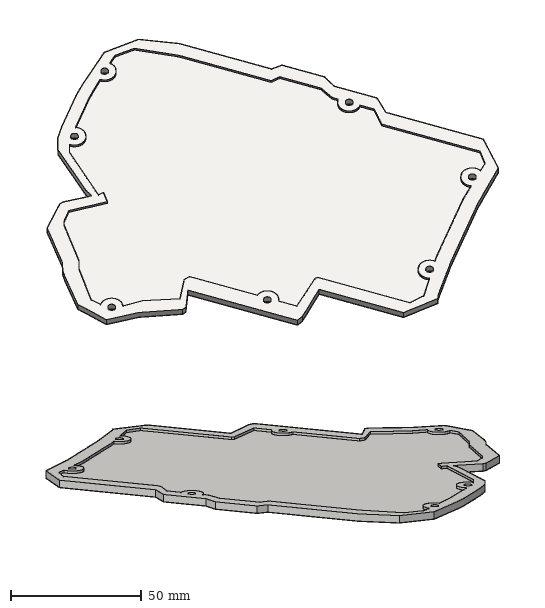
import cadquery as cq

THICKNESS = 3.0
POCKET_DEPTH = 1.0
FLOOR = THICKNESS - POCKET_DEPTH

HOLE_DIAMETER = 3.0
PAD_DIAMETER = 8.9

LEFT = -82.5
RIGHT_TIP = 82.5
RIGHT_WAIST = 81.0
TOP_CENTRE = 71.1
TOP_SIDE = 68.0
TOP_RIGHT = 62.4
BOTTOM_RIGHT = -29.4
BOTTOM_CENTRE = -46.7
BOTTOM_TIP = -71.1

POCKET_LEFT = -77.5
POCKET_RIGHT_TIP = 77.0
POCKET_RIGHT_WAIST = 75.0
POCKET_TOP_CENTRE = 65.4
POCKET_TOP_SIDE = 62.4
POCKET_TOP_RIGHT = 56.3
POCKET_BOTTOM_RIGHT = -24.0
POCKET_BOTTOM_CENTRE = -40.1

LEFT_SCREW_X = -76.3
RIGHT_SCREW_X = 74.6

OUTER_OUTLINE = [
    (-79.5, 54.1),
    (-69.3, 64.7),
    (-53.8, TOP_SIDE),
    (-16.2, TOP_SIDE),
    (-13.0, TOP_CENTRE),
    (4.3, TOP_CENTRE),
    (9.4, TOP_SIDE),
    (26.9, TOP_SIDE),
    (32.5, TOP_RIGHT),
    (72.3, TOP_RIGHT),
    (RIGHT_TIP, 50.8),
    (RIGHT_WAIST, 31.4),
    (RIGHT_WAIST, 0.8),
    (82.0, -17.0),
    (RIGHT_TIP, -18.3),
    (72.5, BOTTOM_RIGHT),
    (38.0, BOTTOM_RIGHT),
    (36.5, -44.2),
    (35.3, BOTTOM_CENTRE),
    (-9.4, BOTTOM_CENTRE),
    (-7.3, -55.0),
    (-8.1, -56.5),
    (-23.5, -63.5),
    (-34.0, BOTTOM_TIP),
    (-43.4, -68.5),
    (-46.9, -67.7),
    (-56.3, -56.1),
    (-58.1, -53.5),
    (-59.5, -50.0),
    (-70.8, -35.7),
    (-70.3, -23.0),
    (-69.5, -21.5),
    (-60.1, -14.9),
    (-63.2, -12.9),
    (-80.0, 2.5),
    (-82.0, 7.8),
    (LEFT, 13.9),
    (LEFT, 30.5),
    (-82.0, 36.3),
]

POCKET_OUTLINE = [
    (-75.1, 54.1),
    (-69.3, 60.0),
    (-52.0, POCKET_TOP_SIDE),
    (-14.4, POCKET_TOP_SIDE),
    (-11.9, POCKET_TOP_CENTRE),
    (5.0, POCKET_TOP_CENTRE),
    (10.5, POCKET_TOP_SIDE),
    (27.7, POCKET_TOP_SIDE),
    (33.0, POCKET_TOP_RIGHT),
    (73.1, POCKET_TOP_RIGHT),
    (POCKET_RIGHT_TIP, 51.3),
    (POCKET_RIGHT_WAIST, 31.4),
    (POCKET_RIGHT_WAIST, 0.8),
    (POCKET_RIGHT_TIP, -18.8),
    (73.1, POCKET_BOTTOM_RIGHT),
    (35.5, POCKET_BOTTOM_RIGHT),
    (34.7, -24.8),
    (32.7, POCKET_BOTTOM_CENTRE),
    (-11.0, POCKET_BOTTOM_CENTRE),
    (-12.5, -42.3),
    (-10.9, -51.8),
    (-24.0, -57.5),
    (-34.2, -65.7),
    (-42.8, -63.7),
    (-52.3, -50.8),
    (-53.6, -47.0),
    (-65.0, -32.2),
    (-65.9, -30.4),
    (-65.9, -24.8),
    (-53.3, -15.5),
    (-56.3, -11.7),
    (-57.8, -13.5),
    (-75.3, 2.6),
    (-76.8, 6.6),
    (POCKET_LEFT, 14.9),
    (POCKET_LEFT, 31.4),
    (-75.6, 51.2),
]

SCREW_POSITIONS = [
    (LEFT_SCREW_X, 45.4),
    (LEFT_SCREW_X, 10.9),
    (17.5, POCKET_TOP_SIDE),
    (RIGHT_SCREW_X, 43.2),
    (RIGHT_SCREW_X, -5.6),
    (21.0, -41.0),
    (-34.2, -64.5),
]


def prism(outline, bottom, height):
    """Upright solid with the given closed outline."""
    return cq.Workplane("XY").workplane(offset=bottom).polyline(outline).close().extrude(height)


def screw_cylinders(diameter, bottom, height):
    """One cylinder at every screw position."""
    base = cq.Workplane("XY").workplane(offset=bottom)
    return base.pushPoints(SCREW_POSITIONS).circle(diameter / 2).extrude(height)


pocket = prism(POCKET_OUTLINE, FLOOR, POCKET_DEPTH)
pocket = pocket.cut(screw_cylinders(PAD_DIAMETER, FLOOR, POCKET_DEPTH))

plate = prism(OUTER_OUTLINE, 0, THICKNESS)
result = plate.cut(pocket).cut(screw_cylinders(HOLE_DIAMETER, 0, THICKNESS))